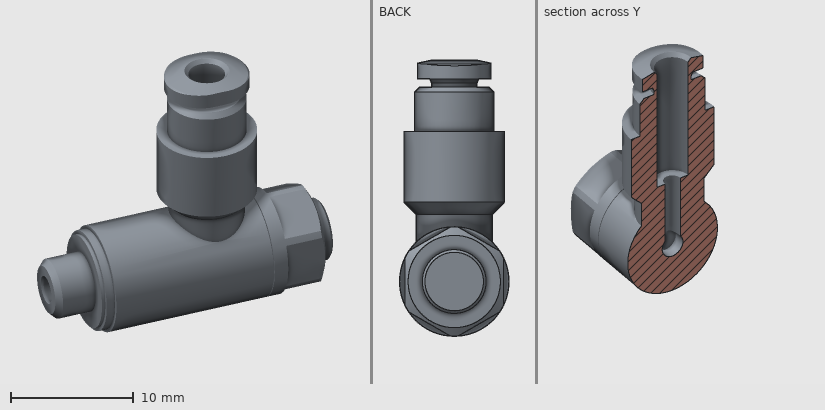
import cadquery as cq
import math


total_length = 24.15
total_height = 22.45

body_d = 8.9
groove_d = 8.2
groove_width = 0.07
washer_d = 8.4
lip_d = 7.8
spigot_d = 5.0
spigot_chamfer = 0.48
knob_d = 5.2
knob_chamfer = 0.22
spigot_end_y = -14.05
lip_end_y = -10.72
washer_end_y = -10.43
body_front_y = -9.68
collar_y = 4.18
hex_start_y = 5.35
hex_end_y = 8.9
knob_end_y = spigot_end_y + total_length

hex_across_flats = 8.0
hex_end_d = 7.5
hex_chamfer_angle = 30.0

neck_d = 6.2
sleeve_d = 8.2
upper_d = 6.5
shoulder_d = 5.65
collet_d = 3.7
sleeve_bottom_z = 6.45
sleeve_top_z = 12.22
shoulder_z = 15.82
button_bottom_z = 16.47
stem_top_z = total_height - body_d / 2
collet_flare = 0.35
collet_flare_out = 0.15

button_width = 6.01
button_length = 7.05
button_rim_d = 3.7
button_cone_d = 6.71
button_cone_drop = 0.31
button_end_drop = 0.45

spigot_bore_d = 2.0
spigot_bore_chamfer = 0.17
tube_bore_d = 3.0
tube_mouth_d = 3.62
tube_bore_floor_z = sleeve_bottom_z
passage_d = 1.5


def revolve_y(profile):
    """Revolve a closed (radius, y) outline about the Y axis."""
    return cq.Workplane("XY").polyline(profile).close().revolve(360, (0, 0, 0), (0, 1, 0))


def revolve_z(profile):
    """Revolve a closed (radius, z) outline about the Z axis."""
    return cq.Workplane("XZ").polyline(profile).close().revolve(360, (0, 0, 0), (0, 1, 0))


def make_body():
    body_r = body_d / 2
    groove_r = groove_d / 2
    washer_r = washer_d / 2
    lip_r = lip_d / 2
    spigot_r = spigot_d / 2
    knob_r = knob_d / 2
    hex_end_r = hex_end_d / 2
    hex_chamfer = (body_r - hex_end_r) * math.tan(math.radians(hex_chamfer_angle))
    body = revolve_y([
        (0, spigot_end_y),
        (spigot_r - spigot_chamfer, spigot_end_y),
        (spigot_r, spigot_end_y + spigot_chamfer),
        (spigot_r, lip_end_y),
        (lip_r, lip_end_y),
        (lip_r, washer_end_y),
        (washer_r, washer_end_y),
        (washer_r, body_front_y - groove_width),
        (groove_r, body_front_y - groove_width),
        (groove_r, body_front_y),
        (body_r, body_front_y),
        (body_r, collar_y - groove_width),
        (groove_r, collar_y - groove_width),
        (groove_r, collar_y),
        (body_r, collar_y),
        (body_r, hex_end_y - hex_chamfer),
        (hex_end_r, hex_end_y),
        (knob_r, hex_end_y),
        (knob_r, knob_end_y - knob_chamfer),
        (knob_r - knob_chamfer, knob_end_y),
        (0, knob_end_y),
    ])
    return body.cut(make_hex_waste())


def make_hex_waste():
    """Ring outside the hexagon, whose corners point along Z."""
    hex_length = hex_end_y - hex_start_y
    corner_d = hex_across_flats / math.cos(math.pi / 6)
    plane = cq.Plane(origin=(0, hex_start_y, 0), xDir=(0, 0, 1), normal=(0, 1, 0))
    ring = cq.Workplane(plane).circle(body_d).extrude(hex_length)
    return ring.cut(cq.Workplane(plane).polygon(6, corner_d).extrude(hex_length))


def make_stem():
    sleeve_r = sleeve_d / 2
    neck_r = neck_d / 2
    upper_r = upper_d / 2
    shoulder_r = shoulder_d / 2
    collet_r = collet_d / 2
    return revolve_z([
        (0, 0),
        (neck_r, 0),
        (neck_r, sleeve_bottom_z - (sleeve_r - neck_r)),
        (sleeve_r, sleeve_bottom_z),
        (sleeve_r, sleeve_top_z),
        (upper_r, sleeve_top_z),
        (upper_r, shoulder_z - (upper_r - shoulder_r)),
        (shoulder_r, shoulder_z),
        (collet_r, shoulder_z),
        (collet_r, button_bottom_z - collet_flare),
        (collet_r + collet_flare_out, button_bottom_z),
        (0, button_bottom_z),
    ])


def make_button():
    """Oblong release button under a shallow cone, with a steeper bevel at its two ends."""
    edge_r = button_length / 2
    oblong = (
        cq.Workplane("XY", origin=(0, 0, button_bottom_z))
        .slot2D(button_length, button_width, 90)
        .extrude(stem_top_z - button_bottom_z)
    )
    cone = revolve_z([
        (0, button_bottom_z),
        (edge_r, button_bottom_z),
        (edge_r, stem_top_z - button_end_drop),
        (button_cone_d / 2, stem_top_z - button_cone_drop),
        (button_rim_d / 2, stem_top_z),
        (0, stem_top_z),
    ])
    return oblong.intersect(cone)


def make_spigot_bore():
    """Blind bore that just reaches past the passage below the stem."""
    bore_r = spigot_bore_d / 2
    return revolve_y([
        (0, spigot_end_y),
        (bore_r + spigot_bore_chamfer, spigot_end_y),
        (bore_r, spigot_end_y + spigot_bore_chamfer),
        (bore_r, bore_r),
        (0, bore_r),
    ])


def make_tube_bore():
    """Stepped bore down the stem, ending in the spigot bore."""
    tube_r = tube_bore_d / 2
    mouth_r = tube_mouth_d / 2
    return revolve_z([
        (0, 0),
        (passage_d / 2, 0),
        (passage_d / 2, tube_bore_floor_z),
        (tube_r, tube_bore_floor_z),
        (tube_r, stem_top_z - (mouth_r - tube_r)),
        (mouth_r, stem_top_z),
        (0, stem_top_z),
    ])


solid_part = make_body().union(make_stem()).union(make_button())
result = solid_part.cut(make_spigot_bore()).cut(make_tube_bore())